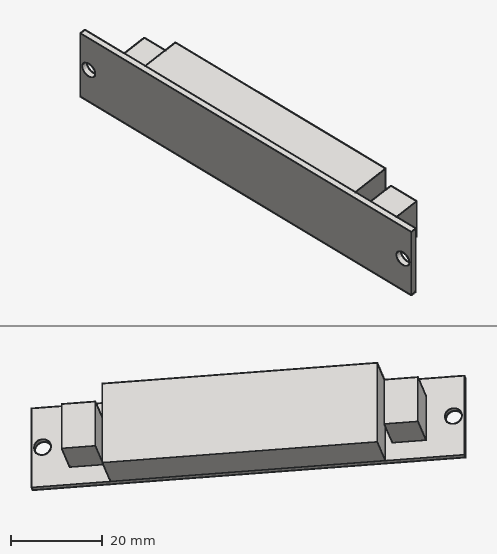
import cadquery as cq

PLATE_LENGTH = 96.0
PLATE_HEIGHT = 19.0
PLATE_THICKNESS = 1.5
HOLE_DIAMETER = 3.7
HOLE_SPACING = 91.1

OVERALL_DEPTH = 11.5
BLOCK_DEPTH = OVERALL_DEPTH - PLATE_THICKNESS
MAIN_BLOCK_LENGTH = 61.0
END_BLOCK_LENGTH = 7.5
END_BLOCK_HEIGHT = 10.7
BLOCK_GAP = 1.5
END_BLOCK_OFFSET = MAIN_BLOCK_LENGTH / 2 + BLOCK_GAP + END_BLOCK_LENGTH / 2


def make_plate():
    """Flat plate with a mounting hole near each end."""
    plate = cq.Workplane("XY").box(
        PLATE_LENGTH, PLATE_THICKNESS, PLATE_HEIGHT, centered=(True, False, True)
    )
    return (
        plate.faces("<Y")
        .workplane(origin=(0, 0, 0))
        .pushPoints([(-HOLE_SPACING / 2, 0), (HOLE_SPACING / 2, 0)])
        .hole(HOLE_DIAMETER)
    )


def make_block(length, height, center_x):
    """Rectangular block whose front face rests on the back of the plate."""
    return (
        cq.Workplane("XY")
        .box(length, BLOCK_DEPTH, height, centered=(True, False, True))
        .translate((center_x, PLATE_THICKNESS, 0))
    )


plate = make_plate()

main_block = make_block(MAIN_BLOCK_LENGTH, PLATE_HEIGHT, 0)

end_blocks = [
    make_block(END_BLOCK_LENGTH, END_BLOCK_HEIGHT, side * END_BLOCK_OFFSET)
    for side in (-1, 1)
]

result = cq.Compound.makeCompound(
    [plate.val(), main_block.val(), *[block.val() for block in end_blocks]]
)